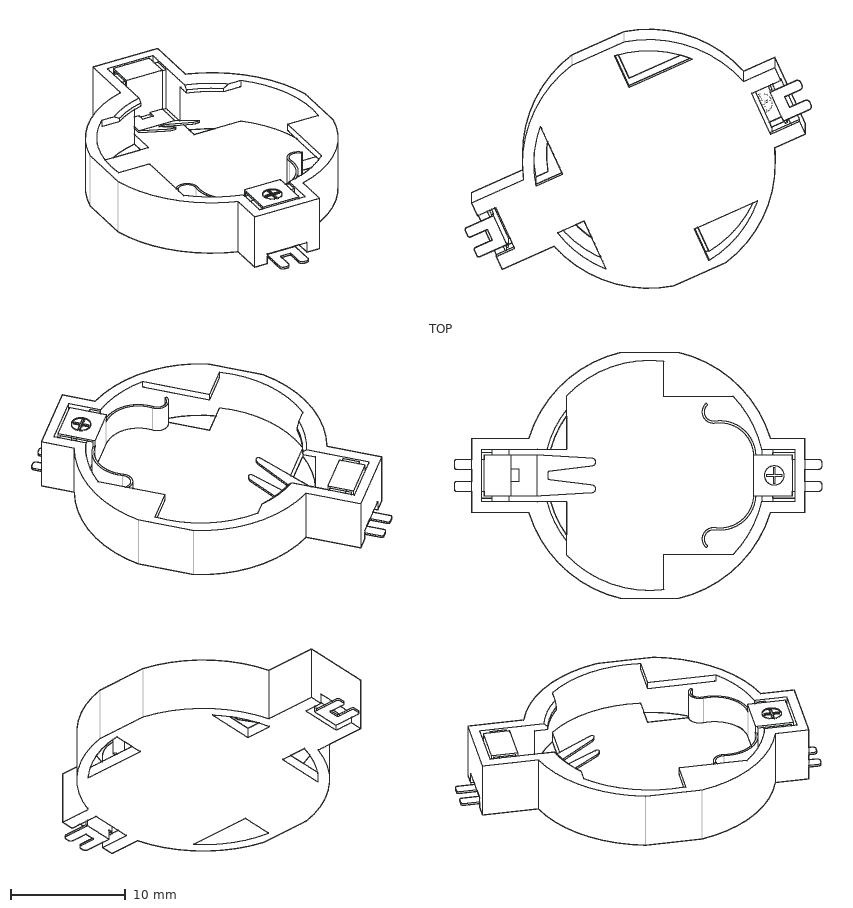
import cadquery as cq
import math


height = 5.12
ring_x = 1.0
ring_radius = 11.0
ring_half_width = 10.72
pocket_radius = 10.0
floor_top = 1.0
lip_thickness = 0.65
lip_bottom = height - lip_thickness

tab_end_x = 14.5
tab_width = 6.45
channel_end_x = 13.63
channel_width = 4.55
slot_width = 3.97

corner_lip_x = 2.2
corner_lip_y = 6.88
end_lip_x = -6.25
end_lip_radius = 8.9
end_lip_chamfer = 0.32

spring_bridge_x = (-12.75, -11.25)
clamp_bridge_x = (10.75, 11.7)

sheet = 0.2
contact_width = 3.6
bridge_top = height - sheet
leg_x = 13.4
terminal_tip_x = 16.0
terminal_width = 2.8
prong_gap = 1.02
prong_gap_end_x = 14.2
spring_tip_radius = 0.2
clamp_tip_radius = 0.32

seat_end_x = -8.83
window_length = 0.67
window_width = 1.1
finger_tip_x = -3.7
finger_tip_top = 3.97
finger_tip_outer_y = 1.5
finger_tip_inner_y = 0.83
finger_tip_bulge = 0.25
finger_notch_x = -7.87
finger_notch_width = 0.7
finger_notch_radius = 0.15

clamp_face_x = 10.05
clamp_bottom = 1.85
band_top = 4.4
band_bend_y = 1.63
band_bend_radius = 3.05
band_curl_radius = 0.9
band_join_angle = 98.0
band_curl_end = 130.0

mark_x = 11.85
mark_diameter = 1.7
mark_depth = 0.1
mark_bar_length = 1.38
mark_bar_width = 0.15


def block(x0, x1, width, z0, z1, y=0.0):
    """Box between two X and two Z values, of a given Y width centred on y."""
    return cq.Workplane("XY").box(abs(x1 - x0), width, z1 - z0).translate(
        ((x0 + x1) / 2, y, (z0 + z1) / 2)
    )


def ring_disc(radius, z0, z1):
    return cq.Workplane("XY", origin=(ring_x, 0, z0)).circle(radius).extrude(z1 - z0)


def corner_areas(z0, z1):
    """The two +X corners of the pocket, beside the cell."""
    span = ring_half_width - corner_lip_y
    middle = corner_lip_y + span / 2
    areas = block(corner_lip_x, tab_end_x, span, z0, z1, middle)
    return areas.union(block(corner_lip_x, tab_end_x, span, z0, z1, -middle))


def end_area(z0, z1):
    """The -X end of the pocket, on both sides of the tab channel."""
    area = block(-tab_end_x, end_lip_x, 2 * ring_half_width, z0, z1)
    return area.cut(block(-tab_end_x, end_lip_x, channel_width, z0, z1))


def make_lips():
    pocket = ring_disc(pocket_radius, lip_bottom, height)
    opening = ring_disc(end_lip_radius, lip_bottom, height)
    flare = (
        cq.Workplane("XY", origin=(ring_x, 0, height))
        .circle(end_lip_radius + end_lip_chamfer)
        .workplane(offset=-end_lip_chamfer)
        .circle(end_lip_radius)
        .loft()
    )
    end_lip = pocket.intersect(end_area(lip_bottom, height)).cut(opening).cut(flare)
    corner_lips = pocket.intersect(corner_areas(lip_bottom, height))
    return end_lip, corner_lips


def make_housing():
    flats = block(-tab_end_x, tab_end_x, 2 * ring_half_width, 0, height)
    body = ring_disc(ring_radius, 0, height).intersect(flats)
    body = body.union(block(-tab_end_x, tab_end_x, tab_width, 0, height))

    body = body.cut(ring_disc(pocket_radius, floor_top, height))
    body = body.cut(block(-channel_end_x, channel_end_x, channel_width, floor_top, height))

    for lip in make_lips():
        body = body.union(lip)
    floor_disc = ring_disc(pocket_radius, 0, floor_top)
    body = body.cut(floor_disc.intersect(corner_areas(0, floor_top)))
    body = body.cut(floor_disc.intersect(end_area(0, floor_top)))

    for near_x, far_x in (spring_bridge_x, clamp_bridge_x):
        body = body.union(block(near_x, far_x, channel_width, 0, bridge_top))
    body = body.cut(block(-tab_end_x, spring_bridge_x[0], slot_width, 0, floor_top))
    body = body.cut(block(clamp_bridge_x[1], tab_end_x, slot_width, 0, floor_top))
    return body


def make_terminal_leg(side, tip_radius):
    """Upright leg with a narrow lower end and a forked foot; side is -1 or 1 along X."""
    outer_x = side * leg_x
    inner_x = side * (leg_x - sheet)
    leg = block(outer_x, inner_x, contact_width, floor_top, height)
    leg = leg.union(block(outer_x, inner_x, terminal_width, 0, floor_top))
    foot = block(inner_x, side * terminal_tip_x, terminal_width, 0, sheet)
    foot = foot.cut(block(side * prong_gap_end_x, side * terminal_tip_x, prong_gap, 0, sheet))
    tip_face = ">X" if side > 0 else "<X"
    foot = foot.faces(tip_face).edges("|Z").fillet(tip_radius)
    return leg.union(foot)


def make_fingers():
    """Two tapered fingers that rise from the seat, cut from one sloping sheet."""
    slope = (
        cq.Workplane("XZ")
        .moveTo(seat_end_x, floor_top)
        .lineTo(seat_end_x, floor_top + sheet)
        .lineTo(finger_tip_x, finger_tip_top)
        .lineTo(finger_tip_x, finger_tip_top - sheet)
        .close()
        .extrude(contact_width / 2, both=True)
    )
    tip_start_x = finger_tip_x - finger_tip_bulge
    tip_middle_y = (finger_tip_outer_y + finger_tip_inner_y) / 2
    outline = (
        cq.Workplane("XY")
        .moveTo(seat_end_x, -contact_width / 2)
        .lineTo(tip_start_x, -finger_tip_outer_y)
        .threePointArc((finger_tip_x, -tip_middle_y), (tip_start_x, -finger_tip_inner_y))
        .lineTo(finger_notch_x, -finger_notch_width / 2)
        .lineTo(finger_notch_x, finger_notch_width / 2)
        .lineTo(tip_start_x, finger_tip_inner_y)
        .threePointArc((finger_tip_x, tip_middle_y), (tip_start_x, finger_tip_outer_y))
        .lineTo(seat_end_x, contact_width / 2)
        .close()
        .extrude(height)
    )
    notch_edge = cq.NearestToPointSelector((finger_notch_x, 0, height / 2))
    outline = outline.faces(notch_edge).edges("|Z").fillet(finger_notch_radius)
    return slope.intersect(outline)


def make_spring_contact():
    contact = make_terminal_leg(-1, spring_tip_radius)
    riser_outer_x = spring_bridge_x[1]
    riser_inner_x = riser_outer_x + sheet
    seat_top = floor_top + sheet
    contact = contact.union(block(-leg_x, riser_inner_x, contact_width, bridge_top, height))
    contact = contact.union(block(riser_outer_x, riser_inner_x, contact_width, floor_top, height))
    contact = contact.union(block(riser_outer_x, seat_end_x, contact_width, floor_top, seat_top))
    window = block(riser_inner_x, riser_inner_x + window_length, window_width, floor_top, seat_top)
    return contact.cut(window).union(make_fingers())


def make_band():
    """S-shaped side band: a large bend from the +Y side of the clamp face, then a reverse curl."""
    half = sheet / 2
    bend_x = clamp_face_x + half - band_bend_radius
    join = math.radians(band_join_angle)
    centre_distance = band_bend_radius + band_curl_radius
    curl_x = bend_x + centre_distance * math.cos(join)
    curl_y = band_bend_y + centre_distance * math.sin(join)
    curl_start = join + math.pi
    curl_end = math.radians(band_curl_end)

    def bend_point(offset, angle):
        radius = band_bend_radius + offset
        return (bend_x + radius * math.cos(angle), band_bend_y + radius * math.sin(angle))

    def curl_point(offset, angle):
        radius = band_curl_radius - offset
        return (curl_x + radius * math.cos(angle), curl_y + radius * math.sin(angle))

    curl_middle = (curl_start + curl_end) / 2
    return (
        cq.Workplane("XY", origin=(0, 0, clamp_bottom))
        .moveTo(*bend_point(-half, 0))
        .threePointArc(bend_point(-half, join / 2), bend_point(-half, join))
        .threePointArc(curl_point(-half, curl_middle), curl_point(-half, curl_end))
        .lineTo(*curl_point(half, curl_end))
        .threePointArc(curl_point(half, curl_middle), curl_point(half, curl_start))
        .threePointArc(bend_point(half, join / 2), bend_point(half, 0))
        .close()
        .extrude(band_top - clamp_bottom)
    )


def make_polarity_recess():
    """Shallow round recess that leaves a plus-shaped rib standing."""
    sketch = cq.Workplane("XY", origin=(mark_x, 0, height - mark_depth))
    recess = sketch.circle(mark_diameter / 2).extrude(mark_depth)
    recess = recess.cut(sketch.rect(mark_bar_length, mark_bar_width).extrude(mark_depth))
    return recess.cut(sketch.rect(mark_bar_width, mark_bar_length).extrude(mark_depth))


def make_clamp_contact():
    contact = make_terminal_leg(1, clamp_tip_radius)
    face_back_x = clamp_face_x + sheet
    contact = contact.union(block(clamp_face_x, leg_x, contact_width, bridge_top, height))
    contact = contact.union(block(clamp_face_x, face_back_x, contact_width, clamp_bottom, height))
    band = make_band()
    contact = contact.union(band).union(band.mirror("XZ"))
    return contact.cut(make_polarity_recess())


housing = make_housing().solids()
spring_contact = make_spring_contact().solids()
clamp_contact = make_clamp_contact().solids()

result = cq.Compound.makeCompound([housing.val(), spring_contact.val(), clamp_contact.val()])